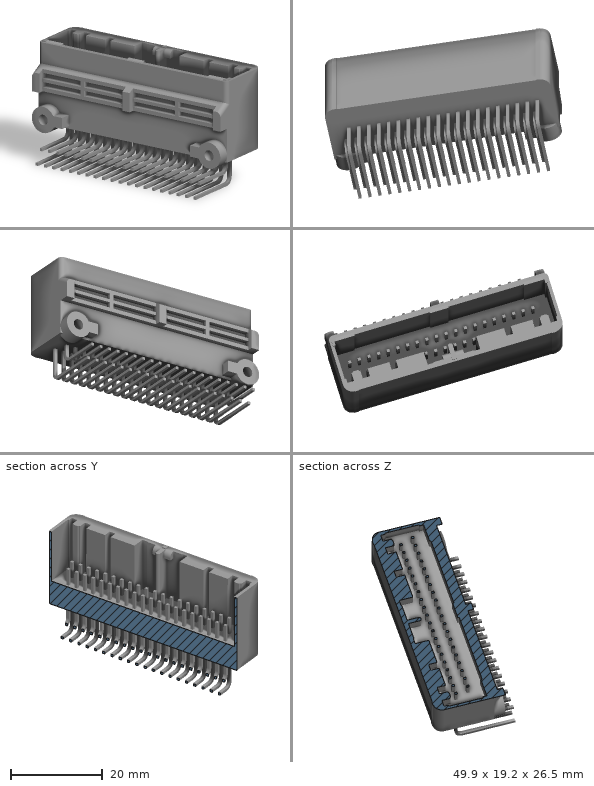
import cadquery as cq
import math

EPS = 0.05

length = 49.9
half_length = length / 2
depth = 13.35
height = 18.45
rear_corner_radius = 2.05
front_corner_radius = 1.0
rear_rib_height = 0.1
rear_rib_inner_x = half_length - 2.95
rear_rib_outer_x = half_length - 1.95

ledge_reach = 2.55
ledge_bottom = 7.8
ledge_slope_bottom = 12.2
ledge_slope_top = 13.6

pocket_floor_y = -1.25
pocket_inner_x = 0.95
pocket_outer_x = 22.95
window_post_x = 12.48
window_post_width = 0.9
window_levels = [(8.7, 9.95), (10.7, 12.05)]

cavity_floor = 6.0
cavity_height = height - cavity_floor
side_wall = 0.75
front_wall = 1.2
rear_side_wall = 1.05
rear_side_wall_depth = 3.25
key_slot_rear = depth - 2.25
key_block_top_y = depth - 4.05
key_block_draft = 0.15
key_slots = [(-47.9, -22.4), (-20.4, -18.75), (-13.8, -12.35)]
end_block_bump_base = 1.45
end_block_bump_crest = 1.05
end_block_bump_front = depth - 4.35
center_recess_half_width = 6.0
center_recess_rear = depth - 1.05
center_panel_half_width = 4.65
center_panel_y = depth - 1.2

key_width = 1.05
key_front_y = depth - 4.2
latch_half_length = 2.35
latch_reach = 1.2
latch_height = 1.75

pad_height = 0.25
pad_outer_y = 0.7
pad_inner_y = 1.5
pad_length = 4.15
corner_pad_outer_x = half_length - 0.45
corner_pad_inner_x = half_length - 1.05
corner_pad_end_x = half_length - 1.5
corner_pad_front_y = 0.6
corner_pad_rear_y = 2.4
corner_pad_radius = 0.5
key_pad_front_y = depth - 1.5
key_pad_rear_y = depth - 0.45

ear_radius = 3.0
ear_x = half_length - ear_radius
ear_z = 1.75
ear_hole_diameter = 2.4
ear_rear_y = 1.0
tab_inner_x = 16.9
tab_bottom = 0.6
tab_top = 3.15

pin_width = 0.65
pin_shank_width = 0.75
pin_taper_start_y = 1.85
pin_taper_end_y = 1.25
pins_per_row = 20
pin_pitch = 2.2
pin_stagger = pin_pitch / 2
pin_top = 10.0
pin_tip_y = -5.75
pin_bend_radius = 1.5
long_pin_y = 7.7
long_pin_z = -7.8 + pin_width / 2
short_pin_y = 4.7
short_pin_z = -3.9


def box(x0, x1, y0, y1, z0, z1):
    """Axis-aligned block between two opposite corners."""
    return cq.Workplane("XY").box(x1 - x0, y1 - y0, z1 - z0, centered=False).translate((x0, y0, z0))


def extrude_along_x(side_profile, x0, x1):
    """Extrude a closed (y, z) outline from x0 to x1."""
    return cq.Workplane("YZ", origin=(x0, 0, 0)).polyline(side_profile).close().extrude(x1 - x0)


def both_sides(solid):
    """Add the mirror image across the middle of the length."""
    return solid.union(solid.mirror("YZ"))


def make_shell():
    """Housing with its sloped front ledge, before hollowing."""
    side_profile = [
        (0, 0),
        (depth, 0),
        (depth, height),
        (0, height),
        (0, ledge_slope_top),
        (-ledge_reach, ledge_slope_bottom),
        (-ledge_reach, ledge_bottom),
        (0, ledge_bottom),
    ]
    shell = extrude_along_x(side_profile, -half_length, half_length)
    shell = shell.edges("|Z and >Y").fillet(rear_corner_radius)
    upper_front = cq.selectors.BoxSelector(
        (-length, -ledge_reach - EPS, ledge_slope_bottom),
        (length, EPS, height + EPS),
    )
    return shell.edges(upper_front).edges("<X or >X").fillet(front_corner_radius)


def make_rear_rib():
    """Low vertical rib on the rear face beside a corner."""
    rear_y = depth + rear_rib_height
    return box(rear_rib_inner_x, rear_rib_outer_x, depth - EPS, rear_y, 0, height)


def cut_ledge(shell):
    """Two open-bottomed pockets, each with four windows back to the wall face."""
    pocket = box(pocket_inner_x, pocket_outer_x, -ledge_reach, pocket_floor_y, ledge_bottom, height)
    post_left = window_post_x - window_post_width / 2
    post_right = window_post_x + window_post_width / 2
    for bottom, top in window_levels:
        for x0, x1 in [(pocket_inner_x, post_left), (post_right, pocket_outer_x)]:
            pocket = pocket.union(box(x0, x1, pocket_floor_y - EPS, 0, bottom, top))
    return shell.cut(both_sides(pocket))


def make_key_block(x0, x1):
    """Guide block on the rear wall whose front face leans forward towards the floor."""
    side_profile = [
        (key_slot_rear + EPS, cavity_floor),
        (key_slot_rear + EPS, height),
        (key_block_top_y, height),
        (key_block_top_y - key_block_draft, cavity_floor),
    ]
    return extrude_along_x(side_profile, x0, x1)


def make_end_block_bump(x):
    """Shallow rib with sloped flanks on the front face of an end guide block."""
    half_base = end_block_bump_base / 2
    half_crest = end_block_bump_crest / 2
    outline = [
        (-half_base, key_slot_rear),
        (-half_base, key_block_top_y - key_block_draft),
        (-half_crest, end_block_bump_front),
        (half_crest, end_block_bump_front),
        (half_base, key_block_top_y - key_block_draft),
        (half_base, key_slot_rear),
    ]
    return (
        cq.Workplane("XY", origin=(x, 0, cavity_floor))
        .polyline(outline)
        .close()
        .extrude(cavity_height)
    )


def make_cavity():
    """Mating opening with key slots and guide blocks along its rear wall."""
    side_x = half_length - side_wall
    rear_side_x = half_length - rear_side_wall
    cavity = box(-side_x, side_x, front_wall, depth - rear_side_wall_depth, cavity_floor, height)
    cavity = cavity.union(
        box(-rear_side_x, rear_side_x, front_wall, key_slot_rear, cavity_floor, height)
    )

    block_starts = [slot[1] for slot in key_slots]
    block_ends = [slot[0] for slot in key_slots[1:]] + [-center_recess_half_width]
    for x0, x1 in zip(block_starts, block_ends):
        cavity = cavity.cut(both_sides(make_key_block(x0, x1)))
    end_block_x = (block_starts[0] + block_ends[0]) / 2
    cavity = cavity.cut(both_sides(make_end_block_bump(end_block_x)))

    recess = box(
        -center_recess_half_width, center_recess_half_width,
        key_block_top_y, center_recess_rear, cavity_floor, height,
    )
    panel = box(
        -center_panel_half_width, center_panel_half_width,
        center_panel_y, center_recess_rear, cavity_floor, height,
    )
    return cavity.union(recess.cut(panel))


def make_center_key():
    """Round-nosed vertical key with a quarter-round latch bar across its root."""
    half_width = key_width / 2
    key = (
        cq.Workplane("XY", origin=(0, 0, cavity_floor - EPS))
        .moveTo(-half_width, key_pad_rear_y)
        .lineTo(-half_width, key_front_y + half_width)
        .threePointArc((0, key_front_y), (half_width, key_front_y + half_width))
        .lineTo(half_width, key_pad_rear_y)
        .close()
        .extrude(cavity_height + EPS)
    )
    latch_front_y = center_panel_y - latch_reach
    arc_mid = latch_reach * math.sqrt(0.5)
    latch = (
        cq.Workplane("YZ", origin=(-latch_half_length, 0, 0))
        .moveTo(center_panel_y + EPS, height)
        .lineTo(center_panel_y, height)
        .threePointArc(
            (center_panel_y - arc_mid, height - latch_reach + arc_mid),
            (latch_front_y, height - latch_reach),
        )
        .lineTo(latch_front_y, height - latch_height)
        .lineTo(center_panel_y + EPS, height - latch_height)
        .close()
        .extrude(2 * latch_half_length)
    )
    pad = box(
        -half_width, half_width,
        key_pad_front_y, key_pad_rear_y, height - EPS, height + pad_height,
    )
    return key.union(latch).union(pad)


def make_wedge_pad(x0):
    """Rib on the front wall that ends in a pad sloping down towards the outside."""
    side_profile = [
        (pad_outer_y, cavity_floor - EPS),
        (pad_outer_y, height),
        (pad_inner_y, height + pad_height),
        (pad_inner_y, cavity_floor - EPS),
    ]
    return extrude_along_x(side_profile, x0, x0 + pad_length)


def make_corner_pad():
    """L-shaped rib in a front corner that ends in a flat raised pad."""
    return (
        cq.Workplane("XY", origin=(0, 0, cavity_floor - EPS))
        .moveTo(corner_pad_end_x, corner_pad_front_y)
        .lineTo(corner_pad_outer_x - corner_pad_radius, corner_pad_front_y)
        .radiusArc((corner_pad_outer_x, corner_pad_front_y + corner_pad_radius), -corner_pad_radius)
        .lineTo(corner_pad_outer_x, corner_pad_rear_y)
        .lineTo(corner_pad_inner_x, corner_pad_rear_y)
        .lineTo(corner_pad_inner_x, pad_inner_y)
        .lineTo(corner_pad_end_x, pad_inner_y)
        .close()
        .extrude(cavity_height + pad_height + EPS)
    )


def make_rim_pads():
    """Three wedge pads and two corner pads along the front rim."""
    corner = make_corner_pad().union(make_wedge_pad(corner_pad_end_x - pad_length))
    return both_sides(corner).union(make_wedge_pad(-pad_length / 2))


def make_ear():
    """Round mounting ear with a tab pointing to the middle of the part."""
    ear = (
        cq.Workplane("XZ", origin=(ear_x, -ledge_reach, ear_z))
        .circle(ear_radius)
        .extrude(-(ledge_reach + ear_rear_y))
    )
    return ear.union(box(tab_inner_x, ear_x, -ledge_reach, EPS, tab_bottom, tab_top))


def make_ear_hole():
    """Hole through the ear, as deep as the ear."""
    return (
        cq.Workplane("XZ", origin=(ear_x, -ledge_reach, ear_z))
        .circle(ear_hole_diameter / 2)
        .extrude(-(ledge_reach + ear_rear_y))
    )


def make_pin(x, y, tail_z):
    """Upright contact, wider bent shank and a tail that tapers to its narrower tip."""
    half_width = pin_width / 2
    half_shank = pin_shank_width / 2
    contact = box(-half_width, half_width, y - half_width, y + half_width, cavity_floor - EPS, pin_top)

    arc_offset = pin_bend_radius * (1 - math.sqrt(0.5))
    path = (
        cq.Workplane("YZ")
        .moveTo(y, cavity_floor - EPS)
        .lineTo(y, tail_z + pin_bend_radius)
        .threePointArc((y - arc_offset, tail_z + arc_offset), (y - pin_bend_radius, tail_z))
        .lineTo(pin_taper_start_y, tail_z)
    )
    shank_section = cq.Workplane("XY", origin=(0, y, cavity_floor - EPS)).rect(pin_shank_width, pin_width)
    shank = shank_section.sweep(path)

    tail_outline = [
        (-half_shank, pin_taper_start_y),
        (-half_width, pin_taper_end_y),
        (-half_width, pin_tip_y),
        (half_width, pin_tip_y),
        (half_width, pin_taper_end_y),
        (half_shank, pin_taper_start_y),
    ]
    tail = (
        cq.Workplane("XY", origin=(0, 0, tail_z - half_width))
        .polyline(tail_outline)
        .close()
        .extrude(pin_width)
    )
    return contact.union(shank).union(tail).translate((x, 0, 0))


def make_pin_row(first_x, y, tail_z):
    """Evenly spaced pins as a list of solids."""
    pin = make_pin(0, y, tail_z).val()
    return [pin.translate(cq.Vector(first_x + i * pin_pitch, 0, 0)) for i in range(pins_per_row)]


first_pin_x = -(pin_pitch * (pins_per_row - 1) + pin_stagger) / 2
pins = make_pin_row(first_pin_x, long_pin_y, long_pin_z)
pins += make_pin_row(first_pin_x + pin_stagger, short_pin_y, short_pin_z)

housing = cut_ledge(make_shell()).union(both_sides(make_rear_rib()))
housing = housing.cut(make_cavity())
housing = housing.union(make_center_key()).union(make_rim_pads())
housing = housing.union(both_sides(make_ear())).cut(both_sides(make_ear_hole()))

result = cq.Workplane(housing.val().fuse(*pins))